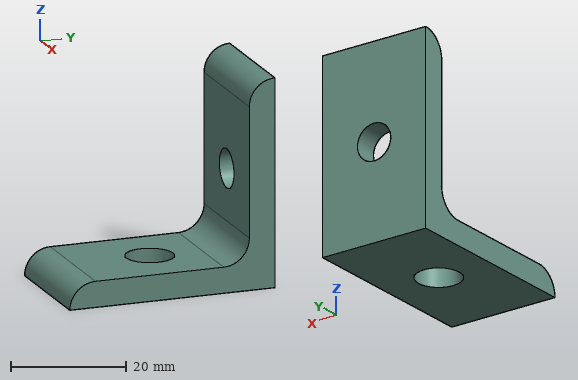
import cadquery as cq
import math

leg_length = 38.1
width = 22.2
thickness = 4.75
root_radius = thickness
tip_radius = thickness
wall_hole_diameter = 7.12
base_hole_diameter = 8.65
hole_distance = leg_length / 2


def arc_middle(center, radius, angle):
    """Point on a circle in the (Y, Z) plane at the given angle in degrees."""
    turn = math.radians(angle)
    return (center[0] + radius * math.cos(turn), center[1] + radius * math.sin(turn))


def angle_section():
    """L outline with rounded leg tips and a filleted inner corner; outer corner at the origin."""
    base_tip_center = (-(leg_length - tip_radius), thickness - tip_radius)
    wall_tip_center = (-(thickness - tip_radius), leg_length - tip_radius)
    root_offset = thickness + root_radius
    root_center = (-root_offset, root_offset)
    return (
        cq.Workplane("YZ")
        .lineTo(-leg_length, 0)
        .threePointArc(
            arc_middle(base_tip_center, tip_radius, 135),
            (-(leg_length - tip_radius), thickness),
        )
        .lineTo(-root_offset, thickness)
        .threePointArc(arc_middle(root_center, root_radius, -45), (-thickness, root_offset))
        .lineTo(-thickness, leg_length - tip_radius)
        .threePointArc(arc_middle(wall_tip_center, tip_radius, 135), (0, leg_length))
        .close()
    )


bracket = angle_section().extrude(width / 2, both=True)

wall_hole = (
    cq.Workplane("XZ")
    .center(0, hole_distance)
    .circle(wall_hole_diameter / 2)
    .extrude(thickness)
)
base_hole = (
    cq.Workplane("XY")
    .center(0, -hole_distance)
    .circle(base_hole_diameter / 2)
    .extrude(thickness)
)

result = bracket.cut(wall_hole).cut(base_hole)